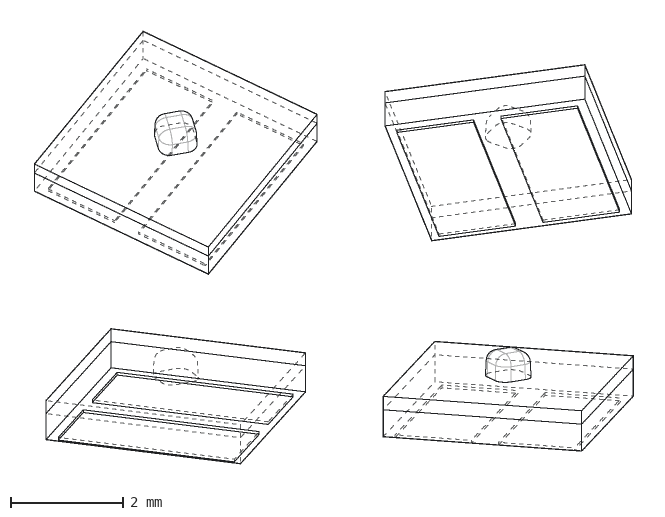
import cadquery as cq

side = 3.65
total_height = 1.27

pad_height = 0.05
pad_gap = 0.5
pad_margin = 0.175
pad_length = side - 2 * pad_margin
pad_width = (pad_length - pad_gap) / 2

base_height = 0.5
cover_height = 0.25
base_bottom = pad_height
cover_bottom = base_bottom + base_height
cover_top = cover_bottom + cover_height

button_side = 0.7
button_height = total_height - cover_top
button_turn = 45.0
button_draft = 2.0
button_round = 0.2


def make_plate(bottom, height):
    """Square plate centred on the Z axis."""
    return cq.Workplane("XY").workplane(offset=bottom).rect(side, side).extrude(height)


def make_pad(center_x):
    """Thin rectangular contact pad running along Y, with its underside at Z = 0."""
    return cq.Workplane("XY").center(center_x, 0).rect(pad_width, pad_length).extrude(pad_height)


def make_button():
    """Drafted square post with its upright edges and top rim rounded to one radius."""
    post = (
        cq.Workplane("XY")
        .workplane(offset=cover_top)
        .rect(button_side, button_side)
        .extrude(button_height, taper=button_draft)
    )
    rounded = post.edges("not <Z").fillet(button_round)
    return rounded.rotate((0, 0, 0), (0, 0, 1), button_turn)


base = make_plate(base_bottom, base_height)
cover = make_plate(cover_bottom, cover_height)
button = make_button()

pad_offset = (pad_gap + pad_width) / 2
pads = [make_pad(direction * pad_offset) for direction in (-1, 1)]

result = cq.Compound.makeCompound(
    [base.val(), cover.val(), button.val(), *[pad.val() for pad in pads]]
)